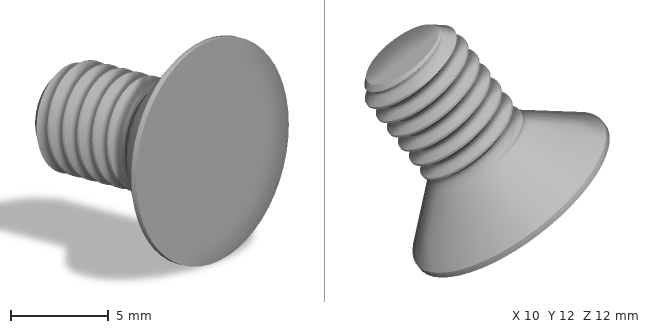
import cadquery as cq
import math

head_diameter = 12.0
rim_thickness = 0.32
total_length = 10.0
head_half_angle = 45.0

major_diameter = 6.0
minor_diameter = 4.7
pitch = total_length / 10
flank_half_angle = 30.0
root_width = pitch / 8
first_root_x = 0.3

end_face_diameter = 4.49

head_radius = head_diameter / 2
major_radius = major_diameter / 2
minor_radius = minor_diameter / 2
end_face_radius = end_face_diameter / 2
rim_x = total_length - rim_thickness


def cone_x(radius):
    """X position where the head cone has the given radius."""
    return rim_x - (head_radius - radius) / math.tan(math.radians(head_half_angle))


def make_head():
    inner_radius = 0.75 * minor_radius
    return (
        cq.Workplane("XY")
        .moveTo(cone_x(inner_radius), 0)
        .lineTo(cone_x(inner_radius), inner_radius)
        .lineTo(rim_x, head_radius)
        .lineTo(total_length, head_radius)
        .lineTo(total_length, 0)
        .close()
        .revolve(360, (0, 0, 0), (1, 0, 0))
    )


def make_shank():
    shank_end_x = cone_x(major_radius) + pitch / 2
    seam_turn = 135
    chamfer_length = major_radius - end_face_radius
    return (
        cq.Workplane("XY")
        .moveTo(0, 0)
        .lineTo(0, end_face_radius)
        .lineTo(chamfer_length, major_radius)
        .lineTo(shank_end_x, major_radius)
        .lineTo(shank_end_x, 0)
        .close()
        .revolve(360, (0, 0, 0), (1, 0, 0))
        .rotate((0, 0, 0), (1, 0, 0), seam_turn)
    )


def make_thread_groove():
    turns = 8
    overshoot = 0.06
    outer_radius = major_radius + overshoot
    root_half = root_width / 2
    outer_half = root_half + (outer_radius - minor_radius) * math.tan(math.radians(flank_half_angle))
    helix = cq.Wire.makeHelix(pitch, turns * pitch, minor_radius)
    groove = (
        cq.Workplane("XZ")
        .polyline(
            [
                (minor_radius, -root_half),
                (outer_radius, -outer_half),
                (outer_radius, outer_half),
                (minor_radius, root_half),
            ]
        )
        .close()
        .sweep(cq.Workplane(helix), isFrenet=True)
    )
    start_x = first_root_x - pitch
    return groove.rotate((0, 0, 0), (0, 1, 0), 90).translate((start_x, 0, 0))


threaded_shank = make_shank().cut(make_thread_groove())
result = threaded_shank.union(make_head())